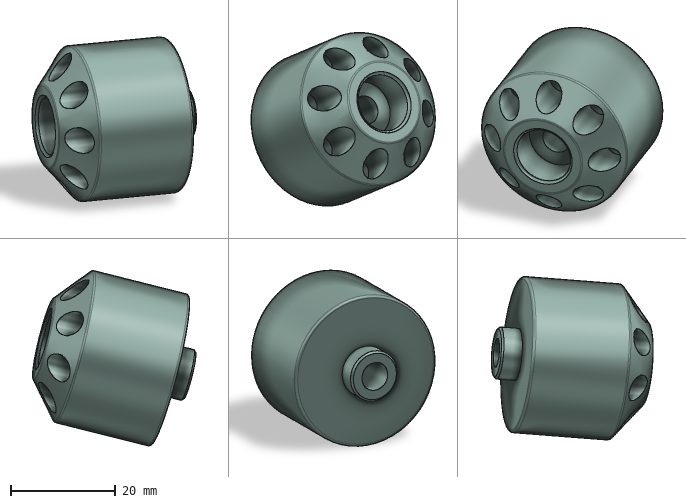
import cadquery as cq
import math

body_radius = 15.0
body_length = 25.0
edge_radius = 0.5

nose_face_radius = 8.0
nose_length = 6.0

spigot_radius = 5.0
spigot_length = 4.0
spigot_chamfer = 0.4

bore_radius = 2.75
counterbore_radius = 5.5
counterbore_depth = 7.0

hole_count = 8
hole_radius = 2.5
hole_circle_radius = 11.5
hole_depth = 10.0
drill_half_angle = math.radians(59.0)

shoulder_y = nose_length
back_y = body_length
spigot_end_y = back_y + spigot_length


def revolve_about_y(profile):
    return profile.close().revolve(360, (0, 0, 0), (0, 1, 0))


def rim_edge(solid, y, radius):
    """Outermost circular edge of the solid at the given station along Y."""
    margin = 0.01
    reach = radius + margin
    slab = cq.selectors.BoxSelector((-reach, y - margin, -reach), (reach, y + margin, reach), boundingbox=True)
    return solid.edges(slab).edges("%CIRCLE").edges(cq.selectors.RadiusNthSelector(-1))


def make_body():
    profile = (
        cq.Workplane("XY")
        .lineTo(nose_face_radius, 0)
        .lineTo(body_radius, shoulder_y)
        .lineTo(body_radius, back_y)
        .lineTo(spigot_radius, back_y)
        .lineTo(spigot_radius, spigot_end_y)
        .lineTo(0, spigot_end_y)
    )
    body = revolve_about_y(profile)
    for y, radius in ((0, nose_face_radius), (shoulder_y, body_radius), (back_y, body_radius)):
        body = rim_edge(body, y, radius).fillet(edge_radius)
    return body.faces(">Y").edges().chamfer(spigot_chamfer)


def make_centre_bore():
    """Stepped bore with a rounded mouth at the nose face."""
    profile = (
        cq.Workplane("XY")
        .lineTo(counterbore_radius + edge_radius, 0)
        .radiusArc((counterbore_radius, edge_radius), -edge_radius)
        .lineTo(counterbore_radius, counterbore_depth)
        .lineTo(bore_radius, counterbore_depth)
        .lineTo(bore_radius, spigot_end_y)
        .lineTo(0, spigot_end_y)
    )
    return revolve_about_y(profile)


def make_drilled_hole():
    """Blind hole with a conical bottom, placed on the hole circle along +X."""
    tip_y = hole_depth + hole_radius / math.tan(drill_half_angle)
    profile = (
        cq.Workplane("XY")
        .lineTo(hole_radius, 0)
        .lineTo(hole_radius, hole_depth)
        .lineTo(0, tip_y)
    )
    return revolve_about_y(profile).translate((hole_circle_radius, 0, 0))


def cut_hole_ring(body):
    hole = make_drilled_hole()
    for index in range(hole_count):
        angle = index * 360.0 / hole_count
        body = body.cut(hole.rotate((0, 0, 0), (0, 1, 0), angle))
    return body


result = cut_hole_ring(make_body().cut(make_centre_bore()))